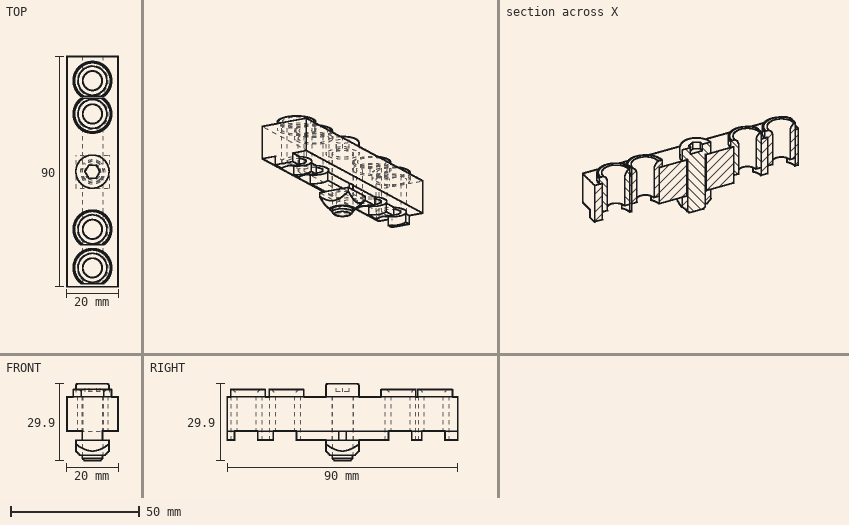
import cadquery as cq
import math

BAR_WIDTH = 20.0
BAR_LENGTH = 90.0
BAR_HEIGHT = 13.3
RIB_WIDTH = 7.9
RIB_DEPTH = 3.5
SCREW_CLEARANCE_DIAMETER = 8.5

BUSHING_BODY_DIAMETER = 12.0
COLLAR_DIAMETER = 15.0
COLLAR_HEIGHT = 3.1
COLLAR_CHAMFER_WIDTH = 0.5
COLLAR_CHAMFER_HEIGHT = 0.3
FLAT_DISTANCE = 6.1
BORE_DIAMETER = 7.5
MOUTH_DIAMETER = 11.25
MOUTH_DEPTH = 3.15
INNER_BUSHING_Y = 22.5
BACK_SPACING = 13.0
FRONT_SPACING = 15.0
BUSHING_PLACES = [
    (INNER_BUSHING_Y + BACK_SPACING, -1),
    (INNER_BUSHING_Y, 1),
    (-INNER_BUSHING_Y, -1),
    (-INNER_BUSHING_Y - FRONT_SPACING, -1),
]

SHANK_DIAMETER = 8.0
HEAD_DIAMETER = 13.0
HEAD_HEIGHT = 5.1
HEAD_FILLET = 0.8
SOCKET_WIDTH = 5.0
SOCKET_DEPTH = 3.0
TIP_DIAMETER = 6.3
TIP_PROJECTION = 2.0
NUT_WIDTH = 13.0
NUT_HEIGHT = 6.0
NUT_CHAMFER = 1.7
NUT_TOP = -RIB_DEPTH
NUT_BOTTOM = NUT_TOP - NUT_HEIGHT


def vertical_cylinder(diameter, bottom, top, y=0.0):
    return cq.Workplane("XY", origin=(0, y, bottom)).circle(diameter / 2).extrude(top - bottom)


def make_bar():
    bar = cq.Workplane("XY").rect(BAR_WIDTH, BAR_LENGTH).extrude(BAR_HEIGHT)
    bar = bar.union(cq.Workplane("XY").rect(RIB_WIDTH, BAR_LENGTH).extrude(-RIB_DEPTH))
    for y, _ in BUSHING_PLACES:
        bar = bar.cut(vertical_cylinder(BUSHING_BODY_DIAMETER, -RIB_DEPTH, BAR_HEIGHT, y))
    return bar.cut(vertical_cylinder(SCREW_CLEARANCE_DIAMETER, -RIB_DEPTH, BAR_HEIGHT))


def make_bushing(y, flat_side):
    body_radius = BUSHING_BODY_DIAMETER / 2
    collar_radius = COLLAR_DIAMETER / 2
    bore_radius = BORE_DIAMETER / 2
    top = BAR_HEIGHT + COLLAR_HEIGHT

    mouth_flare = (MOUTH_DIAMETER - BORE_DIAMETER) / 2
    mouth_bottom = top - MOUTH_DEPTH
    bushing = (
        cq.Workplane("XZ")
        .moveTo(bore_radius, 0)
        .lineTo(body_radius, 0)
        .lineTo(body_radius, BAR_HEIGHT)
        .lineTo(collar_radius, BAR_HEIGHT)
        .lineTo(collar_radius, top - COLLAR_CHAMFER_HEIGHT)
        .lineTo(collar_radius - COLLAR_CHAMFER_WIDTH, top)
        .lineTo(bore_radius + mouth_flare, top)
        .threePointArc(mouth_arc_point(mouth_flare, mouth_bottom), (bore_radius, mouth_bottom))
        .close()
        .revolve(360, (0, 0, 0), (0, 1, 0))
    )
    flat_cutter = (
        cq.Workplane("XY", origin=(0, flat_side * (FLAT_DISTANCE + collar_radius / 2), BAR_HEIGHT))
        .rect(COLLAR_DIAMETER, collar_radius)
        .extrude(COLLAR_HEIGHT)
    )
    return bushing.cut(flat_cutter).translate((0, y, 0))


def mouth_arc_point(flare, mouth_bottom):
    """Middle point of the arc that leaves the bore vertically and widens by `flare`."""
    arc_radius = (flare**2 + MOUTH_DEPTH**2) / (2 * flare)
    half_angle = math.asin(MOUTH_DEPTH / arc_radius) / 2
    radius = BORE_DIAMETER / 2 + arc_radius * (1 - math.cos(half_angle))
    return radius, mouth_bottom + arc_radius * math.sin(half_angle)


def make_screw():
    head_top = BAR_HEIGHT + HEAD_HEIGHT
    head = vertical_cylinder(HEAD_DIAMETER, BAR_HEIGHT, head_top).faces(">Z").edges().fillet(HEAD_FILLET)
    tip_chamfer = (SHANK_DIAMETER - TIP_DIAMETER) / 2
    shank = vertical_cylinder(SHANK_DIAMETER, NUT_BOTTOM - TIP_PROJECTION, BAR_HEIGHT)
    shank = shank.faces("<Z").edges().chamfer(tip_chamfer)
    socket_corner_diameter = SOCKET_WIDTH / math.cos(math.pi / 6)
    socket = (
        cq.Workplane("XY", origin=(0, 0, head_top))
        .polygon(6, socket_corner_diameter)
        .extrude(-SOCKET_DEPTH)
    )
    return head.union(shank).cut(socket)


def make_nut():
    square = cq.Workplane("XY", origin=(0, 0, NUT_BOTTOM)).rect(NUT_WIDTH, NUT_WIDTH).extrude(NUT_HEIGHT)
    bottom_radius = NUT_WIDTH / 2 - NUT_CHAMFER
    cone = (
        cq.Workplane("XZ")
        .moveTo(0, NUT_BOTTOM)
        .lineTo(bottom_radius, NUT_BOTTOM)
        .lineTo(bottom_radius + NUT_HEIGHT, NUT_TOP)
        .lineTo(0, NUT_TOP)
        .close()
        .revolve(360, (0, 0, 0), (0, 1, 0))
    )
    return square.intersect(cone).cut(vertical_cylinder(SHANK_DIAMETER, NUT_BOTTOM, NUT_TOP))


bar = make_bar()
bushings = [make_bushing(y, flat_side) for y, flat_side in BUSHING_PLACES]
screw = make_screw()
nut = make_nut()

result = cq.Compound.makeCompound(
    [bar.val(), *[bushing.val() for bushing in bushings], screw.val(), nut.val()]
)